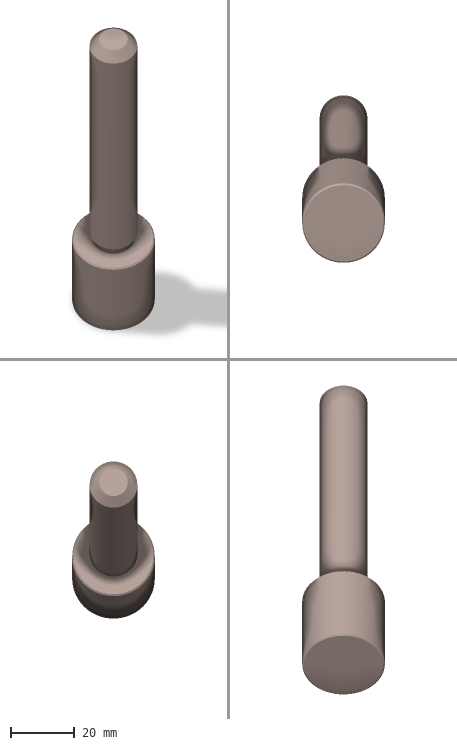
import cadquery as cq

total_length = 125.0
head_diameter = 26.0
head_height = 30.0
shaft_diameter = 15.0

neck_diameter = 13.2
neck_height = 3.0

tip_chamfer = 3.0
head_chamfer = 0.5

head = cq.Workplane("XY").circle(head_diameter / 2).extrude(head_height)
head = head.faces("<Z or >Z").chamfer(head_chamfer)

neck = cq.Workplane("XY").workplane(offset=head_height).circle(neck_diameter / 2).extrude(neck_height)

shaft_start = head_height + neck_height
shaft = (
    cq.Workplane("XY")
    .workplane(offset=shaft_start)
    .circle(shaft_diameter / 2)
    .extrude(total_length - shaft_start)
    .faces(">Z")
    .chamfer(tip_chamfer)
)

result = head.union(neck).union(shaft)